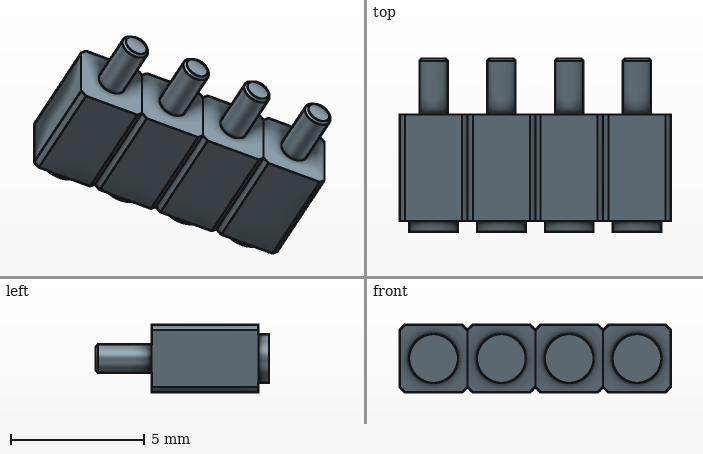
import cadquery as cq

contact_count = 4
pitch = 2.54
block_length = 4.0
edge_chamfer = 0.2
head_diameter = 1.83
head_length = 0.4
pin_diameter = 1.07
pin_length = 2.1
pin_tip_chamfer = 0.1

row_start = -pitch * (contact_count - 1) / 2


def make_block():
    """Square block with its four long edges chamfered."""
    block = cq.Workplane("XY").box(pitch, block_length, pitch, centered=(True, False, True))
    return block.edges("|Y").chamfer(edge_chamfer)


def make_head():
    """Round contact head standing out of the front face."""
    return cq.Workplane("XZ").circle(head_diameter / 2).extrude(head_length)


def make_pin():
    """Round solder pin standing out of the back face, with a chamfered tip."""
    back_face = cq.Workplane("XZ", origin=(0, block_length, 0))
    pin = back_face.circle(pin_diameter / 2).extrude(-pin_length)
    return pin.faces(">Y").chamfer(pin_tip_chamfer)


def make_contact_module(x):
    """One block with its head and pin, as a single solid centred at x."""
    module = make_block().union(make_head()).union(make_pin())
    return module.translate((x, 0, 0))


contact_modules = [make_contact_module(row_start + i * pitch) for i in range(contact_count)]

result = cq.Compound.makeCompound([module.val() for module in contact_modules])